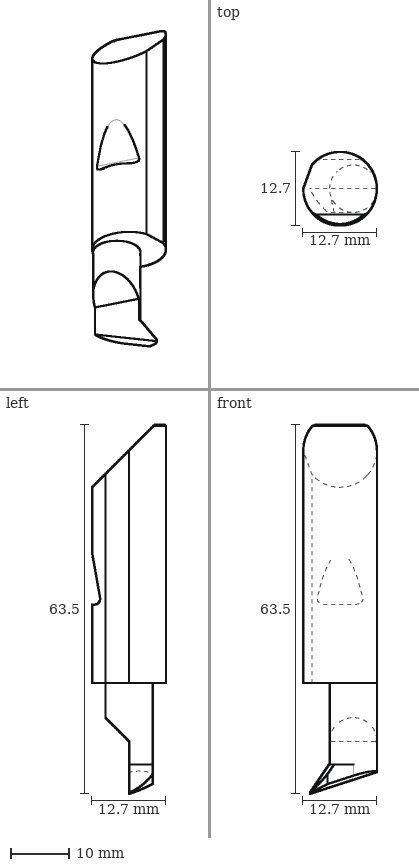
import cadquery as cq
import math

SHANK_DIA = 12.7
SHANK_RADIUS = SHANK_DIA / 2
SHANK_LENGTH = 44.45

TOP_BEVEL_ANGLE = 45
TOP_LAND_Y = -4.45
TOP_CHAMFER = 0.3

SIDE_FLAT_TILT = 20

NOTCH_BOTTOM = 13.5
NOTCH_DEPTH = 1.36
NOTCH_RADIUS = 1.0
NOTCH_RAMP_ANGLE = 10

NECK_DIA = 8.15
NECK_RADIUS = NECK_DIA / 2
NECK_X = SHANK_RADIUS - NECK_RADIUS
RAKE_Y = 0
RAKE_RAMP_END = -10.0
RAKE_RAMP_ANGLE = 45

TIP_X = -5.2
TIP_Z = -19.06
HEAD_TOP = -13.97
HEEL_X = -2.13
CLEARANCE_RADIUS = 12.7
END_ANGLE = 18
END_RELIEF = 10
FLANK_ANGLE = 34.3
FLANK_RELIEF = 0.218
TIP_LAND = 0.25

CUT_SIZE = 150


def half_space(point, normal, along=(1, 0, 0)):
    """Large block on the side of a plane that its normal points to."""
    plane = cq.Plane(origin=point, xDir=along, normal=normal)
    return cq.Workplane(plane).rect(CUT_SIZE, CUT_SIZE).extrude(CUT_SIZE)


def make_shank():
    """Round shank with a chamfered, bevelled top, a side flat and a clamping notch."""
    shank = cq.Workplane("XY").circle(SHANK_RADIUS).extrude(SHANK_LENGTH)
    shank = shank.faces(">Z").edges().chamfer(TOP_CHAMFER)
    tilt = math.radians(TOP_BEVEL_ANGLE)
    bevel = half_space((0, TOP_LAND_Y, SHANK_LENGTH), (0, math.sin(tilt), math.cos(tilt)))
    tilt = math.radians(SIDE_FLAT_TILT)
    flat = half_space((-SHANK_RADIUS, 0, 0), (-math.cos(tilt), math.sin(tilt), 0), (0, 0, 1))
    return shank.cut(bevel).cut(flat).cut(make_notch())


def make_notch():
    """Ramped notch with a rounded lower corner, running across the shank along X."""
    ramp = math.radians(NOTCH_RAMP_ANGLE)
    floor_y = SHANK_RADIUS - NOTCH_DEPTH
    center_y = floor_y + NOTCH_RADIUS
    center_z = NOTCH_BOTTOM + NOTCH_RADIUS
    ramp_y = center_y - NOTCH_RADIUS * math.cos(ramp)
    ramp_z = center_z + NOTCH_RADIUS * math.sin(ramp)
    outer_y = SHANK_RADIUS + NOTCH_DEPTH
    outer_z = ramp_z + (outer_y - ramp_y) / math.tan(ramp)
    arc_middle = -(math.radians(90) + math.radians(180) + ramp) / 2
    middle = (
        center_y + NOTCH_RADIUS * math.cos(arc_middle),
        center_z + NOTCH_RADIUS * math.sin(arc_middle),
    )
    return (
        cq.Workplane("YZ")
        .moveTo(outer_y, NOTCH_BOTTOM)
        .lineTo(center_y, NOTCH_BOTTOM)
        .threePointArc(middle, (ramp_y, ramp_z))
        .lineTo(outer_y, outer_z)
        .close()
        .extrude(SHANK_DIA, both=True)
    )


def make_neck():
    """Eccentric round neck, cut away behind the rake face below a run-out ramp."""
    neck = cq.Workplane("XY").center(NECK_X, 0).circle(NECK_RADIUS).extrude(TIP_Z)
    tilt = math.radians(RAKE_RAMP_ANGLE)
    below_ramp = half_space((0, RAKE_Y, RAKE_RAMP_END), (0, math.cos(tilt), -math.sin(tilt)))
    behind_rake = half_space((0, RAKE_Y, 0), (0, 1, 0))
    return neck.cut(below_ramp.intersect(behind_rake))


def make_head():
    """Block from the rake face to the neck's -Y tangent, with a rounded back clearance."""
    front_y = -NECK_RADIUS
    head = (
        cq.Workplane("XY", origin=(0, 0, HEAD_TOP))
        .moveTo(NECK_X, RAKE_Y)
        .lineTo(TIP_X, RAKE_Y)
        .radiusArc((HEEL_X, front_y), -CLEARANCE_RADIUS)
        .lineTo(NECK_X, front_y)
        .close()
        .extrude(TIP_Z - HEAD_TOP)
    )
    slope = math.tan(math.radians(FLANK_ANGLE))
    flank = half_space(
        (TIP_X, RAKE_Y, TIP_Z + TIP_LAND),
        (-1, -FLANK_RELIEF, slope),
        (0, slope, FLANK_RELIEF),
    )
    return head.cut(flank)


def make_end_relief():
    """Everything below the inclined end face that passes through the tip."""
    end_slope = math.tan(math.radians(END_ANGLE))
    relief_slope = math.tan(math.radians(END_RELIEF))
    return half_space((TIP_X, RAKE_Y, TIP_Z), (end_slope, -relief_slope, -1), (1, 0, end_slope))


cutter = make_neck().union(make_head()).cut(make_end_relief())
result = make_shank().union(cutter)